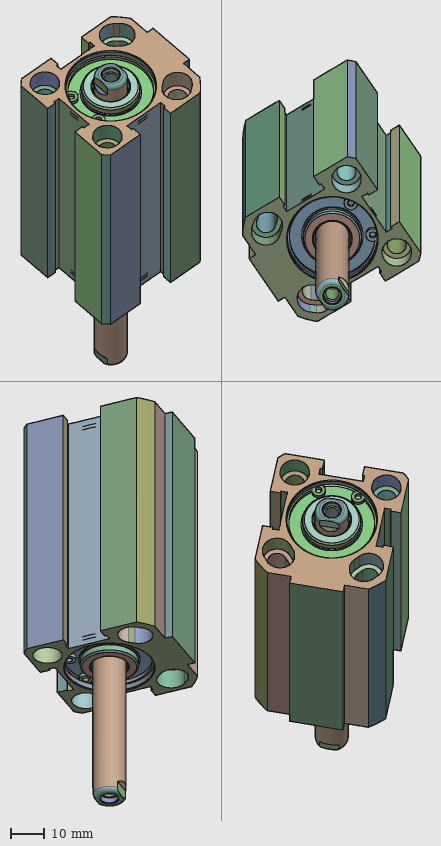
import cadquery as cq
import math

body_width = 40.0
body_length = 79.7
corner_radius = 27.0
shoulder_y = 22.1
pad_width = 16.3
overall_depth = 44.5

channel_floor = 14.9
lip_inner = 16.8
channel_width = 12.2
undercut_width = 13.5

hole_pitch = 28.0
hole_diameter = 5.8
counterbore_diameter = 8.8
counterbore_depth = 6.3
slot_shift_x = 1.2
slot_shift_y = 1.5

bore_diameter = 27.0
bore_chamfer = 0.3
groove_diameter = 29.3
ring_depth = 2.0
ring_thickness = 1.2
ring_inner_diameter = 25.8
lug_diameter = 4.1
lug_hole_diameter = 2.0
lug_radius = 12.1
lug_angle = 30

collar_diameter = 17.5
collar_setback = 0.3
collar_chamfer = 0.5
flange_diameter = 18.4
flange_height = 0.5
recess_diameter = 11.5
recess_depth = 1.0
recess_chamfer = 0.3
relief_diameter = 10.5
relief_depth = 2.1

rod_diameter = 10.0
rod_top = 5.3
rod_length = 131.5
rod_fillet = 1.3
across_flats = 8.0
flat_length = 3.4
drill_diameter = 4.1
drill_depth = 10.5
end_bore_diameter = 5.3
end_bore_depth = 2.0
countersink_diameter = 5.8
drill_point_angle = 118

guide_depth = ring_depth + ring_thickness
half_width = body_width / 2
pad_y = overall_depth - half_width
rod_top_z = body_length + rod_top
rod_bottom_z = rod_top_z - rod_length


def cylinder(diameter, z_start, z_end):
    return cq.Workplane("XY").workplane(offset=z_start).circle(diameter / 2).extrude(z_end - z_start)


def cut_both_ends(part, cutter, mirror_z=body_length / 2):
    """Cut a shape and its mirror image about the plane Z = mirror_z."""
    return part.cut(cutter).cut(cutter.mirror("XY", (0, 0, mirror_z)))


def mouth_chamfer(diameter, chamfer, z_start):
    """Cone frustum that narrows upward from a hole's mouth at z_start to the hole diameter."""
    radius = diameter / 2
    frustum = cq.Solid.makeCone(radius + chamfer, radius, chamfer, pnt=cq.Vector(0, 0, z_start))
    return cq.Workplane(obj=frustum)


def block(x_min, x_max, y_min, y_max):
    """A block over the full housing length."""
    size = (x_max - x_min, y_max - y_min, body_length)
    return cq.Workplane("XY").box(*size, centered=False).translate((x_min, y_min, 0))


def channel():
    """Undercut channel cutter for the -Y side."""
    mouth = block(-channel_width / 2, channel_width / 2, -half_width, -channel_floor)
    undercut = block(-undercut_width / 2, undercut_width / 2, -lip_inner, -channel_floor)
    return mouth.union(undercut)


def mounting_hole(diameter, side_x, side_y, length):
    """Round hole at one corner, or a tilted slot on the +Y side."""
    x = side_x * hole_pitch / 2
    y = side_y * hole_pitch / 2
    plane = cq.Workplane("XY")
    if side_y < 0:
        return plane.center(x, y).circle(diameter / 2).extrude(length)
    slot_length = math.hypot(slot_shift_x, slot_shift_y) + diameter
    slot_angle = math.degrees(math.atan2(slot_shift_y, -side_x * slot_shift_x))
    slot = plane.slot2D(slot_length, diameter, slot_angle).extrude(length)
    return slot.translate((x - side_x * slot_shift_x / 2, y + slot_shift_y / 2, 0))


def make_housing():
    housing = block(-half_width, half_width, -half_width, shoulder_y)
    housing = housing.intersect(cylinder(2 * corner_radius, 0, body_length))
    housing = housing.union(block(-pad_width / 2, pad_width / 2, 0, pad_y))
    for angle in (-90, 0, 90):
        housing = housing.cut(channel().rotate((0, 0, 0), (0, 0, 1), angle))
    for side_x in (-1, 1):
        for side_y in (-1, 1):
            housing = housing.cut(mounting_hole(hole_diameter, side_x, side_y, body_length))
            seat = mounting_hole(counterbore_diameter, side_x, side_y, counterbore_depth)
            housing = cut_both_ends(housing, seat)
    housing = housing.cut(cylinder(bore_diameter, 0, body_length))
    housing = cut_both_ends(housing, cylinder(groove_diameter, ring_depth, guide_depth))
    return cut_both_ends(housing, mouth_chamfer(bore_diameter, bore_chamfer, 0))


def make_ring(z_start):
    """Retaining ring with a gap between two lugs on the -Y side."""
    z_end = z_start + ring_thickness
    outer = cylinder(groove_diameter, z_start, z_end)
    ring = outer.cut(cylinder(ring_inner_diameter, z_start, z_end))
    lug_x = lug_radius * math.sin(math.radians(lug_angle))
    lug_y = -lug_radius * math.cos(math.radians(lug_angle))
    gap = block(-lug_x, lug_x, -groove_diameter, 0)
    ring = ring.cut(gap)
    for x in (-lug_x, lug_x):
        lug = cylinder(lug_diameter, z_start, z_end).translate((x, lug_y, 0))
        ring = ring.union(lug.intersect(outer))
    for x in (-lug_x, lug_x):
        ring = ring.cut(cylinder(lug_hole_diameter, z_start, z_end).translate((x, lug_y, 0)))
    return ring


def make_guide():
    guide = cylinder(bore_diameter, guide_depth, body_length - guide_depth)
    collar = cylinder(collar_diameter, collar_setback, body_length - collar_setback)
    guide = guide.union(collar.faces("<Z or >Z").chamfer(collar_chamfer))
    flange_start = guide_depth - flange_height
    guide = guide.union(cylinder(flange_diameter, flange_start, body_length - flange_start))
    guide = guide.cut(cylinder(rod_diameter, 0, body_length))
    guide = cut_both_ends(guide, cylinder(recess_diameter, 0, collar_setback + recess_depth))
    guide = cut_both_ends(guide, cylinder(relief_diameter, 0, collar_setback + relief_depth))
    return cut_both_ends(guide, mouth_chamfer(recess_diameter, recess_chamfer, collar_setback))


def flat_cutter():
    """Pair of flats at the upper rod end; each flat runs out at 45 degrees."""
    half_flats = across_flats / 2
    run_out = rod_diameter - half_flats
    cutter = (
        cq.Workplane("YZ", origin=(-rod_diameter, 0, rod_top_z))
        .moveTo(half_flats, 0)
        .lineTo(half_flats, -flat_length)
        .lineTo(half_flats + run_out, -flat_length - run_out)
        .lineTo(half_flats + run_out, 0)
        .close()
        .extrude(2 * rod_diameter)
    )
    return cutter.union(cutter.mirror("XZ"))


def end_hole():
    """Stepped blind hole in the upper rod end, with a countersink and a drill point."""
    drill_radius = drill_diameter / 2
    bore_radius = end_bore_diameter / 2
    sink_radius = countersink_diameter / 2
    point_length = drill_radius / math.tan(math.radians(drill_point_angle / 2))
    return (
        cq.Workplane("XZ", origin=(0, 0, rod_top_z))
        .lineTo(sink_radius, 0)
        .lineTo(bore_radius, bore_radius - sink_radius)
        .lineTo(bore_radius, -end_bore_depth)
        .lineTo(drill_radius, -end_bore_depth)
        .lineTo(drill_radius, -drill_depth)
        .lineTo(0, -drill_depth - point_length)
        .close()
        .revolve(360, (0, 0, 0), (0, 1, 0))
    )


def make_rod():
    rod = cylinder(rod_diameter, rod_bottom_z, rod_top_z)
    rod = rod.faces("<Z or >Z").edges().fillet(rod_fillet)
    rod_middle_z = (rod_bottom_z + rod_top_z) / 2
    rod = cut_both_ends(rod, flat_cutter(), rod_middle_z)
    return cut_both_ends(rod, end_hole(), rod_middle_z)


housing = make_housing()
guide = make_guide()
rod = make_rod()
rings = [make_ring(z).val() for z in (ring_depth, body_length - guide_depth)]

result = cq.Compound.makeCompound([housing.val(), guide.val(), rod.val(), *rings])